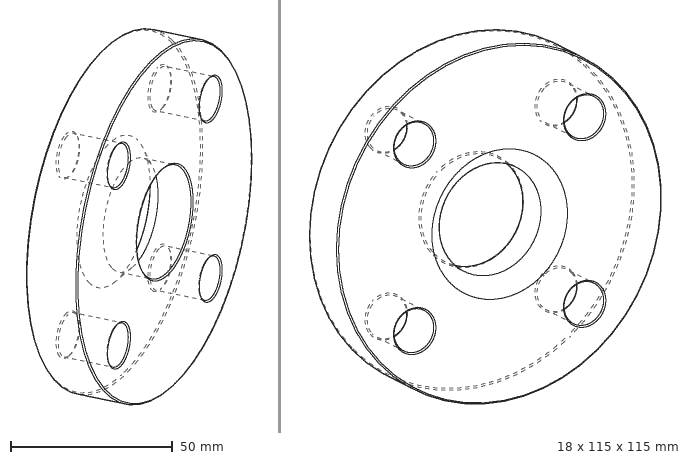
import cadquery as cq
import math

OUTER_DIAMETER = 115.0
THICKNESS = 18.0
RIM_CHAMFER = 0.5

BORE_DIAMETER = 36.0
MOUTH_DEPTH = 6.0
MOUTH_DIAMETER = BORE_DIAMETER + 2 * MOUTH_DEPTH
BORE_BACK_CHAMFER = 0.5

BOLT_COUNT = 4
BOLT_CIRCLE_DIAMETER = 85.0
BOLT_HOLE_DIAMETER = 14.0
BOLT_HOLE_CHAMFER = 0.5


def disc():
    """Plain disc from X = 0 to X = THICKNESS with both rims chamfered."""
    blank = cq.Workplane("YZ").circle(OUTER_DIAMETER / 2).extrude(THICKNESS)
    return blank.edges().chamfer(RIM_CHAMFER)


def bore():
    """Cutter for the through bore and its conical mouth and back chamfer, revolved about X."""
    bore_radius = BORE_DIAMETER / 2
    profile = [
        (0, 0),
        (0, MOUTH_DIAMETER / 2),
        (MOUTH_DEPTH, bore_radius),
        (THICKNESS - BORE_BACK_CHAMFER, bore_radius),
        (THICKNESS, bore_radius + BORE_BACK_CHAMFER),
        (THICKNESS, 0),
    ]
    return cq.Workplane("XY").polyline(profile).close().revolve(360, (0, 0), (1, 0))


def bolt_hole(angle):
    """Cutter for one bolt hole, chamfered at both faces, at an angle in degrees from Y."""
    radius = BOLT_HOLE_DIAMETER / 2
    chamfer_radius = radius + BOLT_HOLE_CHAMFER
    profile = [
        (0, 0),
        (0, chamfer_radius),
        (BOLT_HOLE_CHAMFER, radius),
        (THICKNESS - BOLT_HOLE_CHAMFER, radius),
        (THICKNESS, chamfer_radius),
        (THICKNESS, 0),
    ]
    cutter = cq.Workplane("XY").polyline(profile).close().revolve(360, (0, 0), (1, 0))
    circle_radius = BOLT_CIRCLE_DIAMETER / 2
    y = circle_radius * math.cos(math.radians(angle))
    z = circle_radius * math.sin(math.radians(angle))
    return cutter.translate((0, y, z))


result = disc().cut(bore())
bolt_pitch = 360 / BOLT_COUNT
for index in range(BOLT_COUNT):
    result = result.cut(bolt_hole((index + 0.5) * bolt_pitch))